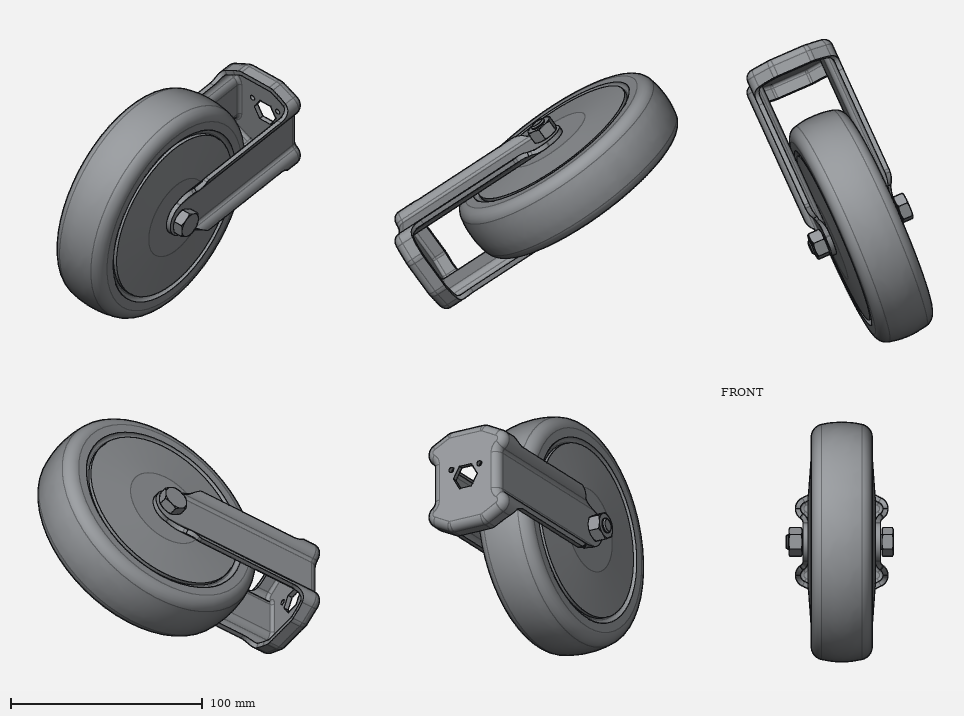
import cadquery as cq
import math


bolt_radius = 4.0
bolt_tip_x = -28.9
bolt_tip_chamfer = 0.8
hex_across_flats = 13.1
hex_chamfer_radial = 1.0
hex_chamfer_axial = 0.5
nut_outer_x = -27.5
nut_inner_x = -20.7
head_inner_x = 21.0
head_outer_x = 26.8
hex_across_corners = hex_across_flats / math.cos(math.pi / 6)

sheet = 2.7
plate_y = 95.3
plate_half_height = 28.0
plate_bend_radius = 4.4
web_half_width = 20.2
web_half_height = 10.1
bulge_half_width = 24.2
bulge_height = 17.4
lower_bulge_radius = 6.2
upper_bulge_radius = 6.2
top_flat_half_width = 9.3
top_bend_radius = 6.2
top_slope_angle = math.radians(24)
arm_inner_half_width = web_half_width - sheet

rim_depth = 10.3
rim_corner_radius = 8.2
flange_end_y = 17.7
flange_corner_radius = 3.0
nose_corner_y = 11.0
nose_corner_z = 12.6
nose_radius = 10.3
nose_tip_y = -8.2

hex_hole_diameter = 14.5
pin_hole_radius = 1.4
pin_hole_x = 8.5
pin_hole_z = 5.4

wheel_radius = 62.5
tyre_half_width = 16.0
crown_radius = 45.8
shoulder_radius = 7.0
groove_outer_radius = 49.5
groove_inner_radius = 46.5
groove_round = 2.2
disc_rim_half_width = 15.8
hub_radius = 22.5
hub_half_width = 17.5
boss_radius = 10.1

overshoot = 1.5


def x_cylinder(radius, start_x, end_x):
    return cq.Workplane("YZ", origin=(start_x, 0, 0)).circle(radius).extrude(end_x - start_x)


def on_circle(centre, radius, angle):
    return centre[0] + radius * math.cos(angle), centre[1] + radius * math.sin(angle)


def opposite(point):
    return -point[0], point[1]



def make_wheel():
    shoulder_x = tyre_half_width - shoulder_radius
    centre_distance = crown_radius - shoulder_radius
    meeting_angle = math.acos(shoulder_x / centre_distance)
    crown_centre = (0, wheel_radius - crown_radius)
    shoulder_centre = on_circle(crown_centre, centre_distance, meeting_angle)
    crown_end = on_circle(crown_centre, crown_radius, meeting_angle)
    shoulder_middle = on_circle(shoulder_centre, shoulder_radius, meeting_angle / 2)

    groove_floor_x = tyre_half_width - groove_round
    groove_floor_radius = groove_outer_radius - groove_round

    profile = (
        cq.Workplane("XY")
        .moveTo(-hub_half_width, 0)
        .lineTo(-hub_half_width, hub_radius)
        .lineTo(-disc_rim_half_width, groove_inner_radius)
        .lineTo(-groove_floor_x, groove_inner_radius)
        .lineTo(-groove_floor_x, groove_floor_radius)
        .radiusArc((-tyre_half_width, groove_outer_radius), -groove_round)
        .lineTo(-tyre_half_width, shoulder_centre[1])
        .threePointArc(opposite(shoulder_middle), opposite(crown_end))
        .threePointArc((0, wheel_radius), crown_end)
        .threePointArc(shoulder_middle, (tyre_half_width, shoulder_centre[1]))
        .lineTo(tyre_half_width, groove_outer_radius)
        .radiusArc((groove_floor_x, groove_floor_radius), -groove_round)
        .lineTo(groove_floor_x, groove_inner_radius)
        .lineTo(disc_rim_half_width, groove_inner_radius)
        .lineTo(hub_half_width, hub_radius)
        .lineTo(hub_half_width, 0)
        .close()
    )
    wheel = profile.revolve(360, (0, 0, 0), (1, 0, 0))
    boss = x_cylinder(boss_radius, -arm_inner_half_width, arm_inner_half_width)
    bore = x_cylinder(bolt_radius, -arm_inner_half_width, arm_inner_half_width)
    return wheel.union(boss).cut(bore)



def fork_block():
    """Solid block enclosed by the outer surface of the fork sheet."""
    s_width = bulge_half_width - web_half_width
    s_height = bulge_height - web_half_height
    s_bend_angle = 2 * math.atan2(s_width, s_height)
    web_bend_radius = s_height / math.sin(s_bend_angle) - lower_bulge_radius

    web_bend = (web_half_width + web_bend_radius, web_half_height)
    lower_bulge = (bulge_half_width - lower_bulge_radius, bulge_height)
    upper_bulge = (bulge_half_width - upper_bulge_radius, bulge_height)
    top_bend = (top_flat_half_width, plate_half_height - top_bend_radius)
    s_end = math.pi - s_bend_angle
    slope_normal = math.pi / 2 - top_slope_angle
    top_middle = (slope_normal + math.pi / 2) / 2

    quarter_outline = (
        cq.Workplane("XZ", origin=(0, plate_y, 0))
        .lineTo(web_half_width, 0)
        .lineTo(web_half_width, web_half_height)
        .threePointArc(
            on_circle(web_bend, web_bend_radius, (math.pi + s_end) / 2),
            on_circle(web_bend, web_bend_radius, s_end),
        )
        .threePointArc(
            on_circle(lower_bulge, lower_bulge_radius, -s_bend_angle / 2),
            (bulge_half_width, bulge_height),
        )
        .threePointArc(
            on_circle(upper_bulge, upper_bulge_radius, slope_normal / 2),
            on_circle(upper_bulge, upper_bulge_radius, slope_normal),
        )
        .lineTo(*on_circle(top_bend, top_bend_radius, slope_normal))
        .threePointArc(
            on_circle(top_bend, top_bend_radius, top_middle),
            (top_flat_half_width, plate_half_height),
        )
        .lineTo(0, plate_half_height)
        .close()
    )
    block_length = plate_y - nose_tip_y + overshoot
    quarter = quarter_outline.extrude(block_length)
    half = quarter.union(quarter.mirror("YZ"))
    block = half.union(half.mirror("XY")).clean()
    return block.faces(">Y").edges().fillet(plate_bend_radius)


def side_outline():
    """Prism along X that holds the part of the sheet left after trimming."""
    slope = math.atan2(bulge_height - nose_corner_z, flange_end_y - nose_corner_y)
    corner_length = flange_corner_radius * math.tan(slope / 2)
    corner_start_y = flange_end_y + corner_length
    corner_end_y = flange_end_y - corner_length * math.cos(slope)
    corner_end_z = bulge_height - corner_length * math.sin(slope)

    nose_centre = (nose_tip_y + nose_radius, 0)
    corner_distance = math.hypot(nose_corner_y - nose_centre[0], nose_corner_z)
    corner_bearing = math.atan2(nose_corner_z, nose_corner_y - nose_centre[0])
    tangent_angle = corner_bearing + math.acos(nose_radius / corner_distance)
    tangent_point = on_circle(nose_centre, nose_radius, tangent_angle)
    nose_middle = on_circle(nose_centre, nose_radius, (tangent_angle + math.pi) / 2)

    rim_y = plate_y - rim_depth
    end_y = plate_y + overshoot
    top_z = plate_half_height + overshoot
    half_width = bulge_half_width + overshoot
    upper_half = (
        cq.Workplane("YZ", origin=(-half_width, 0, 0))
        .moveTo(nose_tip_y, 0)
        .threePointArc(nose_middle, tangent_point)
        .lineTo(nose_corner_y, nose_corner_z)
        .lineTo(corner_end_y, corner_end_z)
        .radiusArc((corner_start_y, bulge_height), flange_corner_radius)
        .lineTo(rim_y - rim_corner_radius, bulge_height)
        .radiusArc((rim_y, bulge_height + rim_corner_radius), -rim_corner_radius)
        .lineTo(rim_y, top_z)
        .lineTo(end_y, top_z)
        .lineTo(end_y, 0)
        .close()
        .extrude(2 * half_width)
    )
    return upper_half.union(upper_half.mirror("XY"))


def make_fork():
    skin = cq.Shell.makeShell(fork_block().faces("not <Y").vals())
    trimmed_skin = cq.Shell.makeShell(skin.intersect(side_outline().val()).Faces())
    fork = cq.Workplane(cq.occ_impl.shapes.offset(trimmed_skin, -sheet))

    fork = fork.cut(x_cylinder(bolt_radius, -bulge_half_width, bulge_half_width))

    plate_plane = cq.Workplane("XZ", origin=(0, plate_y + overshoot, 0))
    cut_depth = sheet + 2 * overshoot
    fork = fork.cut(plate_plane.polygon(6, hex_hole_diameter).extrude(cut_depth))
    for side in (-1, 1):
        pin_hole = plate_plane.center(side * pin_hole_x, pin_hole_z).circle(pin_hole_radius)
        fork = fork.cut(pin_hole.extrude(cut_depth))
    return fork



def hexagon(start_x, end_x):
    """Hexagonal prism along X with chamfered corners and a corner pointing up."""
    prism = (
        cq.Workplane("YZ", origin=(start_x, 0, 0))
        .polygon(6, hex_across_corners)
        .extrude(end_x - start_x)
        .rotate((0, 0, 0), (1, 0, 0), 30)
    )
    rounding = cq.Workplane("XY").polyline([
        (start_x, 0),
        (start_x, hex_across_corners / 2 - hex_chamfer_radial),
        (start_x + hex_chamfer_axial, hex_across_corners / 2),
        (end_x - hex_chamfer_axial, hex_across_corners / 2),
        (end_x, hex_across_corners / 2 - hex_chamfer_radial),
        (end_x, 0),
    ]).close().revolve(360, (0, 0, 0), (1, 0, 0))
    return prism.intersect(rounding)


def make_bolt():
    shank = x_cylinder(bolt_radius, bolt_tip_x, head_inner_x)
    shank = shank.faces("<X").chamfer(bolt_tip_chamfer)
    nut = hexagon(nut_outer_x, nut_inner_x)
    head = hexagon(head_inner_x, head_outer_x)
    return shank.union(nut).union(head)


wheel = make_wheel()
fork = make_fork()
bolt = make_bolt()

result = cq.Compound.makeCompound([wheel.val(), fork.val(), bolt.val()])